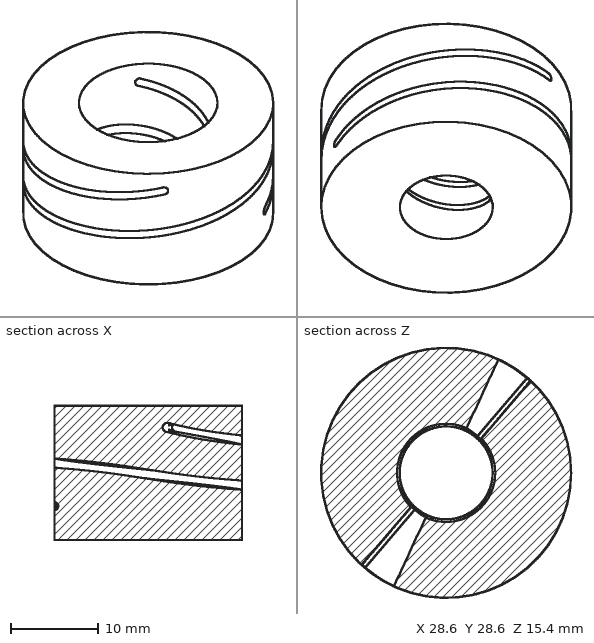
import math

import cadquery as cq

OUTER_RADIUS = 14.31
HEIGHT = 15.37

TOP_BORE_RADIUS = 7.92
BOTTOM_BORE_RADIUS = 5.31
BORE_CONTROLS_PER_END = 3

SLOT_COUNT = 2
SLOT_HEIGHT = 1.0
SKIN_THICKNESS = 0.05

SLOT_START_ANGLE = 229.5
SLOT_END_ANGLE = 527.0
SLOT_MIDDLE_ANGLE = 360.0
SLOT_MIDDLE_Z = 7.52
SLOT_LEAD = 9.2
SLOT_LEAD_GAIN = 0.9
SLOT_END_STEEPENING = 9.0
SLOT_CURVE_POINTS = 25

CUTTER_OVERLAP = 1.0
SLOT_INNER_RADIUS = BOTTOM_BORE_RADIUS - CUTTER_OVERLAP
SLOT_OUTER_RADIUS = OUTER_RADIUS - SKIN_THICKNESS


def make_body():
    """Cylinder with an S-curved bore that leaves both end faces vertically."""
    blank = cq.Workplane("XY").circle(OUTER_RADIUS).extrude(HEIGHT)
    control_radii = [BOTTOM_BORE_RADIUS] * BORE_CONTROLS_PER_END
    control_radii += [TOP_BORE_RADIUS] * BORE_CONTROLS_PER_END
    control_step = HEIGHT / (len(control_radii) - 1)
    control_points = [(radius, i * control_step) for i, radius in enumerate(control_radii)]
    bore = (
        cq.Workplane("XZ")
        .lineTo(BOTTOM_BORE_RADIUS, 0)
        .bezier(control_points)
        .lineTo(0, HEIGHT)
        .close()
        .revolve(360, (0, 0, 0), (0, 1, 0))
    )
    return blank.cut(bore)


def slot_center_z(angle):
    """Height of the slot centre line; it climbs faster towards its ends."""
    turns = (angle - SLOT_MIDDLE_ANGLE) / 360
    return SLOT_MIDDLE_Z + SLOT_LEAD * turns + SLOT_LEAD_GAIN * turns**2 + SLOT_END_STEEPENING * turns**3


def slot_edge(radius, z_offset):
    """Helical curve at a given radius, above or below the slot centre line."""
    angle_step = (SLOT_END_ANGLE - SLOT_START_ANGLE) / (SLOT_CURVE_POINTS - 1)
    points = []
    for i in range(SLOT_CURVE_POINTS):
        angle = SLOT_START_ANGLE + i * angle_step
        x = radius * math.cos(math.radians(angle))
        y = radius * math.sin(math.radians(angle))
        points.append(cq.Vector(x, y, slot_center_z(angle) + z_offset))
    return cq.Edge.makeSpline(points)


def slot_end_faces(angle, outward):
    """Faces of the half-round slot end; outward is +1 or -1, the turning sense it bulges in."""
    cosine = math.cos(math.radians(angle))
    sine = math.sin(math.radians(angle))
    radial = cq.Vector(cosine, sine, 0)
    bulge = cq.Vector(-sine, cosine, 0) * (outward * SLOT_HEIGHT / 2)
    rise = cq.Vector(0, 0, SLOT_HEIGHT / 2)
    arcs = []
    caps = []
    for radius in (SLOT_INNER_RADIUS, SLOT_OUTER_RADIUS):
        center = radial * radius + cq.Vector(0, 0, slot_center_z(angle))
        arc = cq.Edge.makeThreePointArc(center - rise, center + bulge, center + rise)
        chord = cq.Edge.makeLine(center + rise, center - rise)
        arcs.append(arc)
        caps.append(cq.Face.makeFromWires(cq.Wire.assembleEdges([arc, chord])))
    return caps + [cq.Face.makeRuledSurface(*arcs)]


def make_slot_cutter():
    """Solid helical band with half-round ends, as tall as the slot."""
    inner_low = slot_edge(SLOT_INNER_RADIUS, -SLOT_HEIGHT / 2)
    inner_high = slot_edge(SLOT_INNER_RADIUS, SLOT_HEIGHT / 2)
    outer_high = slot_edge(SLOT_OUTER_RADIUS, SLOT_HEIGHT / 2)
    outer_low = slot_edge(SLOT_OUTER_RADIUS, -SLOT_HEIGHT / 2)
    edges = [inner_low, inner_high, outer_high, outer_low]
    faces = [cq.Face.makeRuledSurface(edges[i - 1], edges[i]) for i in range(len(edges))]
    faces += slot_end_faces(SLOT_START_ANGLE, -1)
    faces += slot_end_faces(SLOT_END_ANGLE, 1)
    return cq.Solid.makeSolid(cq.Shell.makeShell(faces))


def cut_slots(body):
    """Cut the helical slots, evenly spaced around the axis."""
    cutter = make_slot_cutter()
    for i in range(SLOT_COUNT):
        turn = i * 360 / SLOT_COUNT
        body = body.cut(cq.Workplane(cutter.rotate((0, 0, 0), (0, 0, 1), turn)))
    return body


result = cut_slots(make_body())